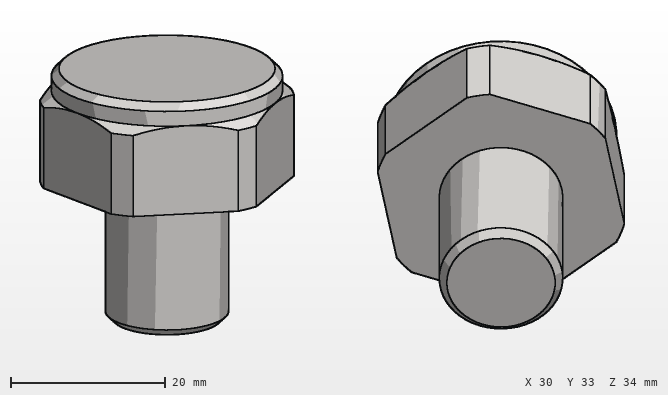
import cadquery as cq
import math

total_height = 34.0
across_flats = 30.0
corner_diameter = 33.0
shank_diameter = 16.0
shank_length = 19.0
collar_height = 3.0
edge_chamfer = 1.0
corner_bevel_height = 1.0

collar_radius = across_flats / 2
corner_radius = corner_diameter / 2
hex_top = total_height - collar_height
hex_height = hex_top - shank_length
bevel_start = hex_top - corner_bevel_height
sharp_corner_diameter = across_flats / math.cos(math.pi / 6)


def make_shank():
    """Plain round shank with a chamfered tip at Z = 0."""
    return (
        cq.Workplane("XY")
        .circle(shank_diameter / 2)
        .extrude(shank_length)
        .faces("<Z")
        .chamfer(edge_chamfer)
    )


def make_hex_head():
    """Hexagon with flats facing X, its corners turned round and bevelled on top."""
    hexagon = (
        cq.Workplane("XY", origin=(0, 0, shank_length))
        .transformed(rotate=(0, 0, 90))
        .polygon(6, sharp_corner_diameter)
        .extrude(hex_height)
    )
    turned_envelope = (
        cq.Workplane("XZ")
        .moveTo(0, shank_length)
        .lineTo(corner_radius, shank_length)
        .lineTo(corner_radius, bevel_start)
        .lineTo(collar_radius, hex_top)
        .lineTo(0, hex_top)
        .close()
        .revolve()
    )
    return hexagon.intersect(turned_envelope)


def make_collar():
    """Round collar on top of the hexagon, as wide as the flats."""
    return (
        cq.Workplane("XY", origin=(0, 0, hex_top))
        .circle(collar_radius)
        .extrude(collar_height)
        .faces(">Z")
        .chamfer(edge_chamfer)
    )


head = make_hex_head().union(make_collar())
result = head.union(make_shank())